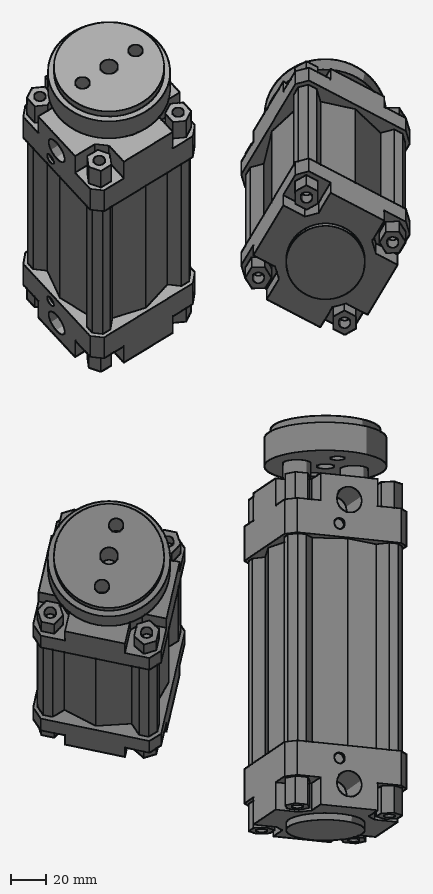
import cadquery as cq
import math

total_height = 237.0
boss_height = 4.0
cap_height = 36.5
rod_exposed_length = 15.2
plate_height = 16.5
spigot_height = 5.0

head_top = total_height - spigot_height - plate_height - rod_exposed_length
head_bottom = head_top - cap_height
foot_bottom = boss_height
foot_top = foot_bottom + cap_height

cap_width = 75.0
cap_chamfer = 5.7
notch_height = 16.0
notch_inner = 17.5
notch_chamfer = cap_chamfer
boss_diameter = 45.0

port_diameter = 15.2
port_depth = 23.7
port_inset = 14.0
screw_hole_diameter = 6.5
screw_hole_depth = 2.0
screw_hole_inset = 28.7
screw_hole_x = -6.0

nut_offset = 28.2
nut_across_flats = 13.0
nut_hole_diameter = 6.6
nut_hole_depth = 11.8
drill_tip_angle = 118.0

barrel_half_width = 35.0
barrel_chamfer = 4.3
barrel_rib_inner = 25.4
barrel_groove_depth = 5.7

plate_diameter = 70.0
spigot_diameter = 63.0
rod_diameter = 16.0
rod_offset = 17.5
center_hole_diameter = 10.2
pin_hole_diameter = 8.3
pin_hole_offset = 19.0

CORNERS = [(1, 1), (-1, 1), (-1, -1), (1, -1)]


def cylinder(diameter, height, x, y, z):
    """Upright cylinder standing on the point (x, y, z)."""
    return cq.Workplane("XY", origin=(x, y, z)).circle(diameter / 2).extrude(height)


def front_hole(diameter, depth, x, z):
    """Blind round cutter going into the -Y face of a cap."""
    return (
        cq.Workplane("XZ", origin=(x, -cap_width / 2, z))
        .circle(diameter / 2)
        .extrude(-depth)
    )


def drilled_hole(diameter, depth):
    """Cutter with a conical drill tip, pointing down from the origin."""
    radius = diameter / 2
    tip_length = radius / math.tan(math.radians(drill_tip_angle / 2))
    profile = [(0, 0), (radius, 0), (radius, -depth), (0, -depth - tip_length)]
    return (
        cq.Workplane("XZ")
        .polyline(profile)
        .close()
        .revolve(360, (0, 0, 0), (0, 1, 0))
    )


def notch(side_x, side_y):
    """Cutter for one corner notch, bevelled where its two walls meet."""
    size = cap_width / 2
    center = notch_inner + size / 2
    return (
        cq.Workplane("XY")
        .rect(size, size)
        .extrude(notch_height)
        .edges("|Z")
        .chamfer(notch_chamfer)
        .translate((side_x * center, side_y * center, cap_height - notch_height))
    )


def nut(side_x, side_y):
    """Drilled hexagonal nut filling the height of one corner notch."""
    across_corners = nut_across_flats / math.cos(math.pi / 6)
    turn = 0 if side_x == side_y else 90
    hexagon = cq.Workplane("XY").polygon(6, across_corners).extrude(notch_height)
    hole = drilled_hole(nut_hole_diameter, nut_hole_depth).translate((0, 0, notch_height))
    return (
        hexagon.cut(hole)
        .rotate((0, 0, 0), (0, 0, 1), turn)
        .translate((side_x * nut_offset, side_y * nut_offset, cap_height - notch_height))
    )


def make_cap():
    """End cap standing on Z = 0 with its notches and nuts at the top."""
    cap = (
        cq.Workplane("XY")
        .rect(cap_width, cap_width)
        .extrude(cap_height)
        .edges("|Z")
        .chamfer(cap_chamfer)
    )
    for side_x, side_y in CORNERS:
        cap = cap.cut(notch(side_x, side_y))
        cap = cap.union(nut(side_x, side_y))
    port_z = cap_height - port_inset
    screw_z = cap_height - screw_hole_inset
    cap = cap.cut(front_hole(port_diameter, port_depth, 0, port_z))
    return cap.cut(front_hole(screw_hole_diameter, screw_hole_depth, screw_hole_x, screw_z))


def make_barrel():
    """Barrel with chamfered corner ribs and a shallow ridge along each side."""
    edge = barrel_half_width
    chamfer_start = edge - barrel_chamfer
    groove_x = barrel_rib_inner - barrel_groove_depth
    groove_y = edge - barrel_groove_depth
    side = [
        (-chamfer_start, -edge),
        (-barrel_rib_inner, -edge),
        (-groove_x, -groove_y),
        (0, -edge),
        (groove_x, -groove_y),
        (barrel_rib_inner, -edge),
        (chamfer_start, -edge),
    ]
    outline = []
    for _ in range(4):
        outline += side
        side = [(-y, x) for x, y in side]
    return (
        cq.Workplane("XY", origin=(0, 0, foot_top))
        .polyline(outline)
        .close()
        .extrude(head_bottom - foot_top)
    )


def make_housing():
    """Fixed cylinder: barrel, two mirrored end caps and the bottom boss."""
    cap = make_cap()
    head = cap.translate((0, 0, head_bottom))
    foot = cap.mirror("XY").translate((0, 0, foot_top))
    boss = cylinder(boss_diameter, boss_height, 0, 0, 0)
    return make_barrel().union(head).union(foot).union(boss)


def make_plunger():
    """Moving plate with a raised spigot, three through holes and two rods."""
    plate_bottom = head_top + rod_exposed_length
    plate_top = plate_bottom + plate_height
    thickness = plate_height + spigot_height
    plunger = cylinder(plate_diameter, plate_height, 0, 0, plate_bottom)
    plunger = plunger.union(cylinder(spigot_diameter, spigot_height, 0, 0, plate_top))
    plunger = plunger.cut(cylinder(center_hole_diameter, thickness, 0, 0, plate_bottom))
    for side in (-1, 1):
        pin_y = side * pin_hole_offset
        plunger = plunger.cut(cylinder(pin_hole_diameter, thickness, 0, pin_y, plate_bottom))
        rod_x = side * rod_offset
        plunger = plunger.union(cylinder(rod_diameter, rod_exposed_length, rod_x, 0, head_top))
    return plunger


housing = make_housing()
plunger = make_plunger()

result = cq.Compound.makeCompound([housing.val(), plunger.val()])